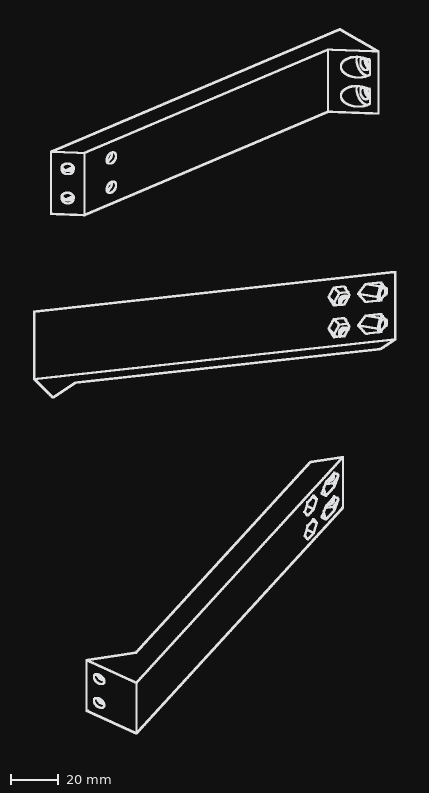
import cadquery as cq
import math

length = 160.0
height = 30.0
hook_reach = 25.0
bar_thickness = 10.0

hole_diameter = 5.1
hole_spacing = 14.0
hole_heights = [height / 2 - hole_spacing / 2, height / 2 + hole_spacing / 2]
floor_thickness = 2.5

hook_hole_x = 18.7
counterbore_diameter = 10.0

nut_across_flats = 8.0
straight_hole_y = 25.0
bevel_distance = bar_thickness / math.sqrt(2)


def make_body():
    hook_depth = hook_reach - bar_thickness
    outline = [
        (0, 0),
        (bar_thickness, bar_thickness),
        (bar_thickness, length - hook_depth),
        (hook_reach, length),
        (0, length),
    ]
    return cq.Workplane("XY").polyline(outline).close().extrude(height)


def make_hook_hole(z):
    outer_face = cq.Plane(origin=(hook_hole_x, length, z), xDir=(1, 0, 0), normal=(0, -1, 0))
    hole = cq.Workplane(outer_face).circle(hole_diameter / 2).extrude(hook_reach)
    counterbore = (
        cq.Workplane(outer_face)
        .workplane(offset=floor_thickness)
        .circle(counterbore_diameter / 2)
        .extrude(hook_reach)
    )
    return hole.union(counterbore)


def make_nut_hole(y, z, direction, through_length):
    across_corners = nut_across_flats / math.cos(math.pi / 6)
    in_plane = cq.Vector(0, 0, 1).cross(cq.Vector(*direction))
    axis = cq.Plane(origin=(0, y, z), xDir=in_plane.toTuple(), normal=direction)
    outside = across_corners
    start = cq.Workplane(axis).workplane(offset=-outside)
    hole = start.circle(hole_diameter / 2).extrude(outside + 2 * through_length)
    pocket = start.polygon(6, across_corners).extrude(outside + through_length - floor_thickness)
    return hole.union(pocket)


result = make_body()
for hole_z in hole_heights:
    result = result.cut(make_hook_hole(hole_z))
    result = result.cut(make_nut_hole(straight_hole_y, hole_z, (1, 0, 0), bar_thickness))
    result = result.cut(make_nut_hole(bar_thickness, hole_z, (1, -1, 0), bevel_distance))